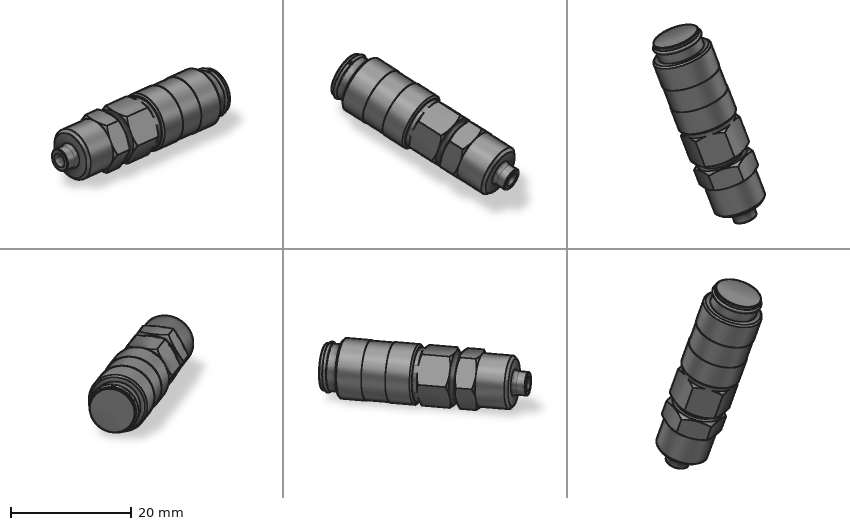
import cadquery as cq
import math


BODY_FRONT = 2.45
FRONT_HEX_START = 7.98
FRONT_HEX_END = 11.55
REAR_HEX_START = 12.5
CASTELLATION_START = 18.0
COLLAR_START = 18.8
WAIST_START = 23.28
WAIST_END = 27.4
COLLAR_END = 31.95
RING_Y = 34.05
LENGTH = 35.0

HEX_FLATS = 9.0
HEX_CORNER_RADIUS = HEX_FLATS / math.sqrt(3)
HEX_CHAMFER_ANGLE = 30.0
HEX_END_RADIUS = 4.55
FRONT_HEX_REAR_RADIUS = 4.35

TUBE_RADIUS = 2.0
TUBE_CHAMFER = 0.15
TUBE_FLARE_START = 1.6
TUBE_FLARE_RADIUS = 2.2
BORE_RADIUS = 1.22
BORE_DEPTH = 3.5
BODY_RADIUS = HEX_FLATS / 2
BODY_CHAMFER = 0.52
NECK_RADIUS = 3.55
NECK_FLARE_LENGTH = 0.52
NECK_FLARE_RADIUS = 3.95
COLLAR_RADIUS = 10.2 / 2
COLLAR_CHAMFER = 0.3
WAIST_RADIUS = 5.0
SPIGOT_RADIUS = 4.0
SPIGOT_CHAMFER = 0.15

RING_WIRE_RADIUS = 0.298
RING_GAP = 0.55
GROOVE_WIDTH = 0.7
GROOVE_FLOOR_RADIUS = SPIGOT_RADIUS - RING_WIRE_RADIUS


def revolve_profile(profile):
    """Revolve a closed (radius, Y) sketch about the Y axis."""
    return profile.close().revolve(360, (0, 0, 0), (0, 1, 0))


def cylinder(radius, start, end):
    return cq.Workplane("XZ", origin=(0, start, 0)).circle(radius).extrude(start - end)


def tube_section(outer_radius, inner_radius, start, end):
    return cylinder(outer_radius, start, end).cut(cylinder(inner_radius, start, end))


def hexagonal_prism(start, end):
    """Plain hexagonal prism with two of its corners on the X axis."""
    return cq.Workplane("XZ", origin=(0, start, 0)).polygon(6, 2 * HEX_CORNER_RADIUS).extrude(start - end)


def chamfered_hexagon(start, end, start_radius, end_radius):
    """Hexagonal prism with its corners turned off conically at both ends."""
    slope = math.tan(math.radians(HEX_CHAMFER_ANGLE))
    start_length = (HEX_CORNER_RADIUS - start_radius) * slope
    end_length = (HEX_CORNER_RADIUS - end_radius) * slope
    envelope = revolve_profile(
        cq.Workplane("XY")
        .moveTo(0, start)
        .lineTo(start_radius, start)
        .lineTo(HEX_CORNER_RADIUS, start + start_length)
        .lineTo(HEX_CORNER_RADIUS, end - end_length)
        .lineTo(end_radius, end)
        .lineTo(0, end)
    )
    return hexagonal_prism(start, end).intersect(envelope)


def make_tube():
    """Tube stub that flares out where it enters the body."""
    return revolve_profile(
        cq.Workplane("XY")
        .lineTo(TUBE_RADIUS - TUBE_CHAMFER, 0)
        .lineTo(TUBE_RADIUS, TUBE_CHAMFER)
        .lineTo(TUBE_RADIUS, TUBE_FLARE_START)
        .tangentArcPoint((TUBE_FLARE_RADIUS, BODY_FRONT), relative=False)
        .lineTo(0, BODY_FRONT)
    )


def make_front_body():
    body = cylinder(BODY_RADIUS, BODY_FRONT, FRONT_HEX_START)
    return body.faces("<Y").chamfer(BODY_CHAMFER)


def make_neck():
    """Neck between the hexagons, flaring out towards the rear one."""
    return revolve_profile(
        cq.Workplane("XY")
        .moveTo(0, FRONT_HEX_END)
        .lineTo(NECK_RADIUS, FRONT_HEX_END)
        .lineTo(NECK_RADIUS, REAR_HEX_START - NECK_FLARE_LENGTH)
        .tangentArcPoint((NECK_FLARE_RADIUS, REAR_HEX_START), relative=False)
        .lineTo(0, REAR_HEX_START)
    )


def make_castellation():
    """Rear hexagon stub with rounded corners, leaving a narrow flat on each side."""
    stub = cylinder(HEX_END_RADIUS, CASTELLATION_START, COLLAR_START)
    return stub.intersect(hexagonal_prism(CASTELLATION_START, COLLAR_START))


def make_collar():
    """Round sleeve with chamfered ends and a shallow waist."""
    collar = cylinder(COLLAR_RADIUS, COLLAR_START, COLLAR_END)
    collar = collar.faces("<Y or >Y").chamfer(COLLAR_CHAMFER)
    waist = tube_section(COLLAR_RADIUS, WAIST_RADIUS, WAIST_START, WAIST_END)
    return collar.cut(waist)


def make_spigot():
    """Plain rear end with a square groove for the snap ring."""
    spigot = cylinder(SPIGOT_RADIUS, COLLAR_END, LENGTH).faces(">Y").chamfer(SPIGOT_CHAMFER)
    groove_start = RING_Y - GROOVE_WIDTH / 2
    groove_end = RING_Y + GROOVE_WIDTH / 2
    groove = tube_section(SPIGOT_RADIUS, GROOVE_FLOOR_RADIUS, groove_start, groove_end)
    return spigot.cut(groove)


def make_coupling():
    sections = [
        make_front_body(),
        chamfered_hexagon(FRONT_HEX_START, FRONT_HEX_END, HEX_END_RADIUS, FRONT_HEX_REAR_RADIUS),
        make_neck(),
        chamfered_hexagon(REAR_HEX_START, CASTELLATION_START, HEX_END_RADIUS, HEX_END_RADIUS),
        make_castellation(),
        make_collar(),
        make_spigot(),
    ]
    coupling = make_tube()
    for section in sections:
        coupling = coupling.union(section)
    return coupling.cut(cylinder(BORE_RADIUS, 0, BORE_DEPTH))


def make_snap_ring():
    """Round-wire ring resting on the groove floor, with its gap at +Z."""
    torus = cq.Solid.makeTorus(
        SPIGOT_RADIUS, RING_WIRE_RADIUS, cq.Vector(0, RING_Y, 0), cq.Vector(0, 1, 0)
    )
    ring = cq.Workplane("XY").add(torus)
    gap = (
        cq.Workplane("XY", origin=(0, RING_Y, 0))
        .rect(RING_GAP, 2 * GROOVE_WIDTH)
        .extrude(SPIGOT_RADIUS + GROOVE_WIDTH)
    )
    return ring.cut(gap)


coupling = make_coupling()
snap_ring = make_snap_ring()

result = cq.Compound.makeCompound([coupling.val(), snap_ring.val()])